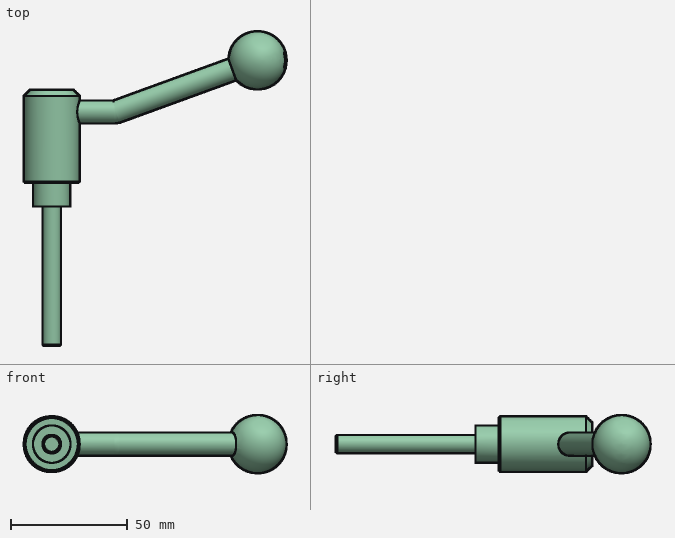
import cadquery as cq
import math

hub_diameter = 24.0
hub_length = 40.0
hub_end_chamfer = 2.7
hub_base_chamfer = 0.8
collar_diameter = 16.0
collar_length = 10.0
stud_diameter = 8.0
stud_tip_chamfer = 0.7

ball_diameter = 25.0
overall_length = 134.7
overall_width = 112.5

arm_diameter = 10.0
arm_drop = 9.5
arm_angle = 20.0
bend_radius = 1.2

ball_x = overall_width - hub_diameter / 2 - ball_diameter / 2
ball_y = 12.5
stud_end_y = ball_y + ball_diameter / 2 - overall_length
stud_length = -stud_end_y - hub_length - collar_length
bend_x = ball_x - (ball_y + arm_drop) / math.tan(math.radians(arm_angle))


def cylinder_down(diameter, length, top_y):
    """Cylinder on the hub axis, running from top_y towards -Y."""
    return cq.Workplane("XZ", origin=(0, top_y, 0)).circle(diameter / 2).extrude(length)


def make_hub():
    hub = cylinder_down(hub_diameter, hub_length, 0)
    return hub.faces(">Y").chamfer(hub_end_chamfer).faces("<Y").chamfer(hub_base_chamfer)


def make_stud():
    collar = cylinder_down(collar_diameter, collar_length, -hub_length)
    stud = cylinder_down(stud_diameter, stud_length, -hub_length - collar_length)
    return collar.union(stud.faces("<Y").chamfer(stud_tip_chamfer))


def make_arm():
    """Round bar from the hub axis to the ball centre, with a tight rounded bend."""
    radius = arm_diameter / 2
    tangent = bend_radius * math.tan(math.radians(arm_angle / 2))
    inner_length = bend_x - tangent
    outer_length = math.hypot(ball_x - bend_x, ball_y + arm_drop) - tangent
    pivot = (inner_length, bend_radius - arm_drop, 0)

    inner = cq.Workplane("YZ", origin=(0, -arm_drop, 0)).circle(radius).extrude(inner_length)
    outer = (
        cq.Workplane("YZ", origin=(inner_length, -arm_drop, 0))
        .circle(radius)
        .extrude(outer_length)
        .rotate(pivot, (pivot[0], pivot[1], 1), arm_angle)
    )

    half_chord = math.sqrt(radius**2 - bend_radius**2)
    elbow = (
        cq.Workplane("YZ", origin=pivot)
        .moveTo(0, -half_chord)
        .threePointArc((-bend_radius - radius, 0), (0, half_chord))
        .close()
        .revolve(arm_angle, (0, 0), (0, 1))
    )
    return inner.union(outer).union(elbow)


def make_ball():
    return cq.Workplane("XY").sphere(ball_diameter / 2).translate((ball_x, ball_y, 0))


result = make_hub().union(make_stud()).union(make_arm()).union(make_ball())